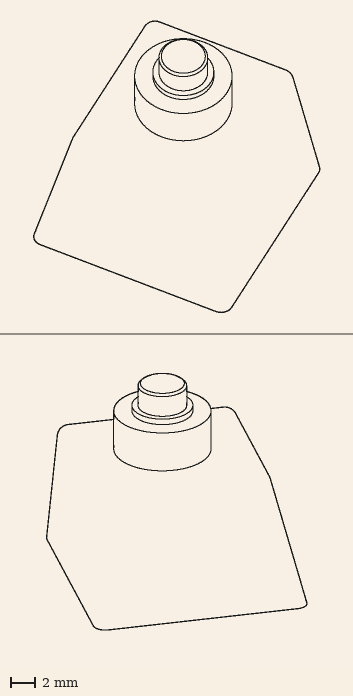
import cadquery as cq

base_side = 18.0
body_height = 11.4
side_inset = 2.4
front_inset = 2.72
back_inset = 0.4
edge_radius = 1.0

stem_steps = [(8.0, 3.5), (5.0, 0.5), (4.0, 2.02)]
tip_chamfer = 0.2
stem_offset_y = 1.2

half_side = base_side / 2
half_top_width = half_side - side_inset


def tapered_body():
    """Block of four leaning flat walls with rounded corner and top edges and a flat base."""
    width_profile = (
        cq.Workplane("XZ", origin=(0, half_side, 0))
        .moveTo(-half_side, 0)
        .lineTo(half_side, 0)
        .lineTo(half_top_width, body_height)
        .lineTo(-half_top_width, body_height)
        .close()
        .extrude(base_side)
    )
    depth_profile = (
        cq.Workplane("YZ", origin=(-half_side, 0, 0))
        .moveTo(-half_side, 0)
        .lineTo(half_side, 0)
        .lineTo(half_side - back_inset, body_height)
        .lineTo(-half_side + front_inset, body_height)
        .close()
        .extrude(base_side)
    )
    return width_profile.intersect(depth_profile).edges("not <Z").fillet(edge_radius)


def stepped_stem():
    """Coaxial cylinders stacked on the body, with a chamfered tip."""
    stem = cq.Workplane("XY")
    step_base = body_height
    for diameter, height in stem_steps:
        step = (
            cq.Workplane("XY", origin=(0, stem_offset_y, step_base))
            .circle(diameter / 2)
            .extrude(height)
        )
        stem = stem.add(step)
        step_base += height
    return stem.combine().faces(">Z").edges().chamfer(tip_chamfer)


result = tapered_body().union(stepped_stem())